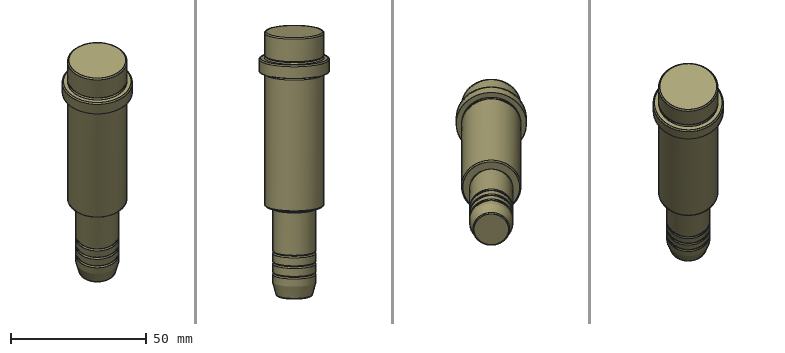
import cadquery as cq

total_height = 100.0
flange_top = 90.0
flange_bottom = 85.0
body_bottom = 34.0
taper_top = 5.0

body_radius = 11.0
flange_radius = 13.0
shank_radius = 8.0
tip_radius = 6.8

edge_chamfer = 0.5
tip_chamfer = 0.4
groove_width = 1.0
groove_depth = 0.5

groove_pitch = 4.0
groove_count = 3
lowest_groove_height = 8.5


def revolve_profile(points):
    """Revolve a closed (radius, height) outline about the Z axis."""
    return cq.Workplane("XZ").polyline(points).close().revolve(360, (0, 0, 0), (0, 1, 0))


def make_cylinder(radius, bottom, top):
    return cq.Workplane("XY").workplane(offset=bottom).circle(radius).extrude(top - bottom)


def make_shank():
    """Round shank with a tapered tip and a thinner neck below the body."""
    neck_bottom = body_bottom - groove_width
    neck_radius = shank_radius - groove_depth
    return revolve_profile([
        (0, 0),
        (tip_radius - tip_chamfer, 0),
        (tip_radius, tip_chamfer),
        (shank_radius, taper_top),
        (shank_radius, neck_bottom),
        (neck_radius, neck_bottom),
        (neck_radius, body_bottom),
        (0, body_bottom),
    ])


def make_body():
    """Main cylinder running from the shank to the head."""
    body = make_cylinder(body_radius, body_bottom, total_height)
    return body.faces("<Z or >Z").edges().chamfer(edge_chamfer)


def make_flange():
    flange = make_cylinder(flange_radius, flange_bottom, flange_top)
    return flange.faces(">Z").edges().chamfer(edge_chamfer)


def make_groove_cutter(radius, height):
    """Ring of triangular section that cuts a V groove into a cylinder of the given radius."""
    half_width = groove_width / 2
    return revolve_profile([
        (radius - groove_depth, height),
        (radius, height - half_width),
        (radius, height + half_width),
    ])


shank = make_shank()
for index in range(groove_count):
    groove_height = lowest_groove_height + index * groove_pitch
    shank = shank.cut(make_groove_cutter(shank_radius, groove_height))

body = make_body()
for groove_height in (flange_bottom - groove_width / 2, flange_top + groove_width / 2):
    body = body.cut(make_groove_cutter(body_radius, groove_height))

result = shank.union(body).union(make_flange())